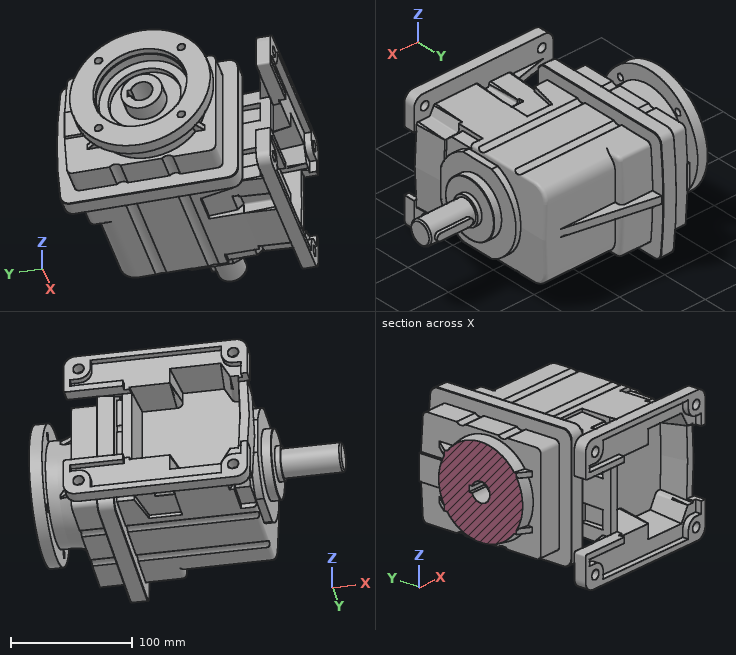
import cadquery as cq
import math


FLANGE_DIA = 120.0
FLANGE_THICK = 11.0
NECK_DIA = 90.0
NECK_END = 21.0
CONE_END_DIA = 94.0
BOLT_CIRCLE = 100.0
BOLT_DIA = 6.6

PILOT_DIA = 80.0
PILOT_DEPTH = 6.0
CAVITY_DIA = 78.0
CAVITY_DEPTH = 15.0
SEAL_BORE_DIA = 62.0
SEAL_BORE_DEPTH = 20.5
HUB_DIA = 35.0
HUB_FACE = 5.0
HUB_BORE_DIA = 19.0
HUB_BORE_DEPTH = 42.0
HUB_KEY_WIDTH = 6.0
HUB_KEY_TOP = 12.3

COVER_START = 34.7
COVER_TOP = 73.7
COVER_BOTTOM = -55.3
HALF_WIDTH = 50.0
COVER_CORNER = 5.0
COVER_CROWN = 2.6
PAD_THICK = 3.0
PAD_WIDTH = 25.4
PAD_TOP = 73.0
COVER_RIB_Z = 25.0
COVER_RIB_THICK = 5.0
COVER_RIB_START = 22.0
COVER_RIB_UPPER = 54.0
COVER_RIB_LOWER = -46.0

JOINT_START = 58.6
JOINT_END = 73.3
JOINT_TOP = 86.8
JOINT_BOTTOM = -68.2
JOINT_HALF_WIDTH = 62.0
JOINT_CORNER = 9.0
JOINT_CROWN = 3.8
JOINT_CHAMFER = 0.5

HOUSING_END = 186.5
REAR_CROWN = 2.0
HOUSING_BOTTOM = -56.2
SHOULDER_END = 108.0
SHOULDER_TOP = 73.6
SHOULDER_ROUND = 4.0
HOUSING_TOP = 65.9
HOUSING_CORNER = 16.0
HOUSING_END_ROUND = 3.0
GROOVE_WIDTH = 9.3
GROOVE_DEPTH = 2.0
GROOVE_Y = (30.5, -14.3)
UNDER_GROOVE_WIDTH = 6.2
UNDER_GROOVE_Z = 21.7
WEB_THICK = 8.0
WEB_END = 168.5
WEB_START_TOP = 84.5

RECESS_TOP = -26.5
RECESS_SLOPE_TOP = -51.0
LABEL_START_LOW = 87.7
LABEL_START_HIGH = 94.7
LABEL_END = 122.3
LABEL_UPPER_Z = 47.0
LABEL_LOWER_Z = 45.0
LABEL_NOTCH_START = 104.6
REAR_RECESS_START = 171.8
REAR_RECESS_Z = 45.5
WAIST_Z = 40.5

OUTPUT_Y = -11.3
PLATE_END = 191.6
PLATE_DIA = 95.4
PLATE_HALF_WIDTH = 44.3
OUTPUT_BOSS_DIA = 60.0
OUTPUT_BOSS_END = 200.0
OUTPUT_BOSS_CHAMFER = 0.5
SHOULDER_DIA = 30.0
SHAFT_SHOULDER_END = 204.5
SHAFT_DIA = 25.0
SHAFT_END = 255.0
SHAFT_CHAMFER = 1.5
KEY_START = 210.0
KEY_LENGTH = 40.0
KEY_WIDTH = 8.0
KEY_HEIGHT = 7.0
KEY_ABOVE_SHAFT = 3.0

FOOT_BOTTOM = -101.2
FOOT_THICK = 12.0
FOOT_TOP = FOOT_BOTTOM + FOOT_THICK
FOOT_START = 37.0
FOOT_END = PLATE_END
FOOT_HALF_WIDTH = 135.26 / 2
FOOT_CORNER = 10.0
FOOT_GAP_HALF = 33.5
GAP_CORNER = 2.0
FOOT_HOLE_DIA = 9.0
FOOT_HOLE_X = (49.7, 179.7)
FOOT_HOLE_Z = 55.0
FOOT_RECESS_DEPTH = 6.0
RIM_WIDTH = 5.4
HOLE_BOSS_RADIUS = 10.0
RAIL_END = 87.0
RAIL_WIDTH = 5.5
GUSSET_Z = 40.2
GUSSET_THICK = 7.2
GUSSET_START = 48.0
GUSSET_TOP = -79.8

LEG_FRONT = 86.0
LEG_STEP_FRONT = 106.5
LEG_STEP_REAR = 122.5
LEG_WIDE_END = 168.0
LEG_CHAMFER_END = 173.0
LEG_REAR = 187.0
LEG_RIDGE = LEG_REAR + REAR_CROWN
LEG_DRAFT = 3.3
LEG_ROUND = 2.0
POCKET_FLOOR = -64.0
POCKET_FRONT = 91.2
POCKET_STEP = 125.3
POCKET_WIDE_END = 168.0
POCKET_NARROW_START = 176.0
POCKET_REAR = 182.8
POCKET_CROWN = 1.2
POCKET_RIDGE = POCKET_REAR + POCKET_CROWN
POCKET_NARROW_Z = 35.5
POCKET_WIDE_Z = 49.5
POCKET_TAPER = 5.0
WALL_POCKET_Z = 23.0
WALL_POCKET_WIDTH = 18.0
WALL_POCKET_LOW = -80.0
WALL_POCKET_DEPTH = 5.0


def cylinder(start, end, diameter, y=0.0):
    """Cylinder along X at height y."""
    return cq.Workplane("YZ", origin=(start, y, 0)).circle(diameter / 2).extrude(end - start)


def block(x0, x1, y0, y1, z0, z1):
    """Axis-aligned block between opposite corners."""
    return cq.Workplane("XY").box(x1 - x0, y1 - y0, z1 - z0, centered=False).translate((x0, y0, z0))


def crowned_block(start, end, bottom, top, half_width, crown, corner):
    """Block along X with rounded edges and a top that bulges upward by the crown."""
    return (
        cq.Workplane("YZ", origin=(start, 0, 0))
        .moveTo(bottom, -half_width)
        .lineTo(top - crown, -half_width)
        .threePointArc((top, 0), (top - crown, half_width))
        .lineTo(bottom, half_width)
        .close()
        .extrude(end - start)
        .edges("|X")
        .fillet(corner)
    )


def ridged_outline(half, ridge_x):
    """XZ outline symmetric about z = 0, from its z > 0 half and the ridge point at its rear."""
    return half + [(ridge_x, 0)] + [(x, -z) for x, z in reversed(half)]


def off_center_box(x0, x1, y0, y1):
    """Selector for edges centred within the XY range but not on the mid plane z = 0."""
    left = cq.selectors.BoxSelector((x0, y0, -FOOT_HALF_WIDTH), (x1, y1, -1))
    right = cq.selectors.BoxSelector((x0, y0, 1), (x1, y1, FOOT_HALF_WIDTH))
    return left + right


def side_prism(points, z_center, thickness):
    """Prism of an XY outline, centred on z_center."""
    plane = cq.Workplane("XY", origin=(0, 0, z_center - thickness / 2))
    return plane.polyline(points).close().extrude(thickness)


def end_profile_prism(points, start, end):
    """Prism along X of a (y, z) outline."""
    return cq.Workplane("YZ", origin=(start, 0, 0)).polyline(points).close().extrude(end - start)


def both_sides(solid):
    """The solid together with its mirror image across the XY plane."""
    return solid.union(solid.mirror("XY"))


def motor_side():
    """Motor flange, neck, cone and their ribs."""
    body = cylinder(0, FLANGE_THICK, FLANGE_DIA).union(cylinder(FLANGE_THICK, NECK_END, NECK_DIA))
    cone = (
        cq.Workplane("YZ", origin=(NECK_END, 0, 0))
        .circle(NECK_DIA / 2)
        .workplane(offset=COVER_START - NECK_END)
        .circle(CONE_END_DIA / 2)
        .loft()
    )
    body = body.union(cone)
    pad = block(COVER_START - PAD_THICK, COVER_START, 0, PAD_TOP, -PAD_WIDTH / 2, PAD_WIDTH / 2)
    body = body.union(pad)
    rib_root = math.sqrt((NECK_DIA / 2) ** 2 - COVER_RIB_Z**2)
    for root_y, tip_y in ((rib_root, COVER_RIB_UPPER), (-rib_root, COVER_RIB_LOWER)):
        outline = [(COVER_RIB_START, root_y), (COVER_START, tip_y), (COVER_START, 0), (COVER_RIB_START, 0)]
        body = body.union(both_sides(side_prism(outline, COVER_RIB_Z, COVER_RIB_THICK)))
    return body


def cut_motor_cavity(body):
    """Stepped motor opening with the keyed input hub standing inside it."""
    body = body.cut(cylinder(0, PILOT_DEPTH, PILOT_DIA))
    body = body.cut(cylinder(0, CAVITY_DEPTH, CAVITY_DIA))
    body = body.cut(cylinder(0, SEAL_BORE_DEPTH, SEAL_BORE_DIA))
    body = body.union(cylinder(HUB_FACE, SEAL_BORE_DEPTH, HUB_DIA))
    body = body.cut(cylinder(0, HUB_BORE_DEPTH, HUB_BORE_DIA))
    keyway = block(0, HUB_BORE_DEPTH, 0, HUB_KEY_TOP, -HUB_KEY_WIDTH / 2, HUB_KEY_WIDTH / 2)
    body = body.cut(keyway)
    bolts = (
        cq.Workplane("YZ")
        .polarArray(BOLT_CIRCLE / 2, 45, 360, 4)
        .circle(BOLT_DIA / 2)
        .extrude(FLANGE_THICK)
    )
    return body.cut(bolts)


def cover_and_joint():
    """Input cover block and the joint flange behind it."""
    cover = crowned_block(
        COVER_START, JOINT_START, COVER_BOTTOM, COVER_TOP, HALF_WIDTH, COVER_CROWN, COVER_CORNER
    )
    joint = crowned_block(
        JOINT_START, JOINT_END, JOINT_BOTTOM, JOINT_TOP, JOINT_HALF_WIDTH, JOINT_CROWN, JOINT_CORNER
    )
    joint = joint.faces("<X or >X").edges().chamfer(JOINT_CHAMFER)
    return cover.union(joint)


def housing():
    """Gear housing: a low rear body, a taller front shoulder and a sloping top web."""
    side_end = HOUSING_END - REAR_CROWN
    outline = ridged_outline([(JOINT_END, HALF_WIDTH), (side_end, HALF_WIDTH)], HOUSING_END)
    rear = (
        cq.Workplane("XZ", origin=(0, HOUSING_TOP, 0))
        .polyline(outline)
        .close()
        .extrude(HOUSING_TOP - HOUSING_BOTTOM)
        .edges("|X and >Y")
        .fillet(HOUSING_CORNER)
    )
    rear = rear.edges(
        off_center_box(side_end - 1, HOUSING_END, HOUSING_BOTTOM + 1, HOUSING_TOP + 1)
    ).fillet(HOUSING_END_ROUND)
    shoulder = crowned_block(
        JOINT_END, SHOULDER_END, 0, SHOULDER_TOP, HALF_WIDTH, COVER_CROWN, COVER_CORNER
    )
    shoulder = shoulder.faces(">X").edges(">Y").fillet(SHOULDER_ROUND)
    web_outline = [
        (JOINT_END, WEB_START_TOP),
        (WEB_END, HOUSING_TOP),
        (WEB_END, 0),
        (JOINT_END, 0),
    ]
    return rear.union(shoulder).union(side_prism(web_outline, 0, WEB_THICK))


def groove(width, depth, start, end):
    """Shallow round channel along X whose chord lies on the plane y = 0, sinking to -Y."""
    radius = (width**2 / 4 + depth**2) / (2 * depth)
    return cylinder(start, end, 2 * radius, radius - depth)


def cut_grooves(body):
    """Channels along both sides and along the underside, broken by the joint flange."""
    for start, end in ((COVER_START, JOINT_START), (JOINT_END, HOUSING_END)):
        side = groove(GROOVE_WIDTH, GROOVE_DEPTH, start, end).rotate((0, 0, 0), (1, 0, 0), 90)
        for y in GROOVE_Y:
            body = body.cut(both_sides(side.translate((0, y, HALF_WIDTH))))
    under = groove(UNDER_GROOVE_WIDTH, GROOVE_DEPTH, JOINT_END, LEG_FRONT)
    under = under.rotate((0, 0, 0), (1, 0, 0), 180)
    return body.cut(both_sides(under.translate((0, HOUSING_BOTTOM, UNDER_GROOVE_Z))))


def cut_side_recesses(body):
    """Label recess and rear recess on both sides, each falling off to the leg below."""
    outside = HALF_WIDTH + 1
    label = end_profile_prism(
        [
            (RECESS_TOP, outside),
            (RECESS_TOP, LABEL_UPPER_Z),
            (HOUSING_BOTTOM, LABEL_LOWER_Z),
            (HOUSING_BOTTOM, outside),
        ],
        LABEL_START_LOW,
        LABEL_END,
    )
    label_outline = [
        (LABEL_START_LOW, HOUSING_BOTTOM),
        (LABEL_START_HIGH, RECESS_TOP),
        (LABEL_END, RECESS_TOP),
        (LABEL_END, HOUSING_BOTTOM),
    ]
    label = label.intersect(side_prism(label_outline, HALF_WIDTH, HALF_WIDTH))
    notch = end_profile_prism(
        [
            (RECESS_SLOPE_TOP, outside),
            (RECESS_SLOPE_TOP, LABEL_LOWER_Z),
            (HOUSING_BOTTOM, WAIST_Z),
            (HOUSING_BOTTOM, outside),
        ],
        LABEL_NOTCH_START,
        LABEL_END,
    )
    rear = end_profile_prism(
        [
            (RECESS_TOP, outside),
            (RECESS_TOP, REAR_RECESS_Z),
            (RECESS_SLOPE_TOP, REAR_RECESS_Z),
            (HOUSING_BOTTOM, WAIST_Z),
            (HOUSING_BOTTOM, outside),
        ],
        REAR_RECESS_START,
        PLATE_END,
    )
    for recess in (label, notch, rear):
        body = body.cut(both_sides(recess))
    return body


def output_side():
    """Rear plate, bearing boss, output shaft and key."""
    plate = cylinder(JOINT_END, PLATE_END, PLATE_DIA, OUTPUT_Y)
    plate = plate.intersect(
        block(JOINT_END, PLATE_END, HOUSING_BOTTOM, PLATE_DIA, -PLATE_HALF_WIDTH, PLATE_HALF_WIDTH)
    )
    boss = cylinder(HOUSING_END, OUTPUT_BOSS_END, OUTPUT_BOSS_DIA, OUTPUT_Y)
    boss = boss.faces(">X").chamfer(OUTPUT_BOSS_CHAMFER)
    shoulder = cylinder(OUTPUT_BOSS_END, SHAFT_SHOULDER_END, SHOULDER_DIA, OUTPUT_Y)
    shaft = cylinder(SHAFT_SHOULDER_END, SHAFT_END, SHAFT_DIA, OUTPUT_Y).faces(">X").chamfer(SHAFT_CHAMFER)
    key_top = OUTPUT_Y + SHAFT_DIA / 2 + KEY_ABOVE_SHAFT
    key = (
        cq.Workplane("XZ", origin=(KEY_START + KEY_LENGTH / 2, key_top, 0))
        .slot2D(KEY_LENGTH, KEY_WIDTH)
        .extrude(KEY_HEIGHT)
    )
    return plate.union(boss).union(shoulder).union(shaft).union(key)


def leg():
    """Drafted leg; its outline is narrow in front, waisted, wide, then narrow again."""
    outline = ridged_outline(
        [
            (LEG_FRONT, LABEL_LOWER_Z),
            (LEG_STEP_FRONT, LABEL_LOWER_Z),
            (LEG_STEP_FRONT, WAIST_Z),
            (LEG_STEP_REAR, WAIST_Z),
            (LEG_STEP_REAR, HALF_WIDTH),
            (LEG_WIDE_END, HALF_WIDTH),
            (LEG_CHAMFER_END, WAIST_Z),
            (LEG_REAR, WAIST_Z),
        ],
        LEG_RIDGE,
    )
    plane = cq.Workplane("XZ", origin=(0, HOUSING_BOTTOM, 0))
    body = plane.polyline(outline).close().extrude(HOUSING_BOTTOM - FOOT_TOP, taper=-LEG_DRAFT)
    upright_edges = off_center_box(FOOT_START, FOOT_END, FOOT_TOP + 1, HOUSING_BOTTOM - 1)
    return body.edges(upright_edges).fillet(LEG_ROUND)


def leg_pocket():
    """Tapered hollow of the leg, widest at the foot."""
    outline = ridged_outline(
        [
            (POCKET_FRONT, POCKET_NARROW_Z),
            (POCKET_STEP, POCKET_NARROW_Z),
            (POCKET_STEP, POCKET_WIDE_Z),
            (POCKET_WIDE_END, POCKET_WIDE_Z),
            (POCKET_NARROW_START, POCKET_NARROW_Z),
            (POCKET_REAR, POCKET_NARROW_Z),
        ],
        POCKET_RIDGE,
    )
    rim = FOOT_BOTTOM + FOOT_RECESS_DEPTH
    depth = POCKET_FLOOR - rim
    taper = math.degrees(math.atan(POCKET_TAPER / depth))
    return cq.Workplane("XZ", origin=(0, rim, 0)).polyline(outline).close().extrude(-depth, taper=taper)


def foot_plate():
    """Mounting plate; the lengthwise gap splits it into two rails."""
    plate = block(
        FOOT_START, FOOT_END, FOOT_BOTTOM, FOOT_TOP, -FOOT_HALF_WIDTH, FOOT_HALF_WIDTH
    )
    plate = plate.edges("|Y").fillet(FOOT_CORNER)
    gap = block(FOOT_START, FOOT_END, FOOT_BOTTOM, FOOT_TOP, -FOOT_GAP_HALF, FOOT_GAP_HALF)
    return plate.cut(gap).edges("|Y and (<X or >X)").edges("<X").fillet(GAP_CORNER)


def foot_recess():
    """Shallow recess under each foot rail, leaving a rim, a guide rail and four hole bosses."""
    inner_z = FOOT_GAP_HALF + RAIL_WIDTH
    outer_z = FOOT_HALF_WIDTH - RIM_WIDTH
    recess_floor = FOOT_BOTTOM + FOOT_RECESS_DEPTH
    area = block(
        FOOT_START + RIM_WIDTH, FOOT_END - RIM_WIDTH, FOOT_BOTTOM, recess_floor, inner_z, outer_z
    )
    rest = block(RAIL_END, FOOT_END - RIM_WIDTH, FOOT_BOTTOM, recess_floor, 0, inner_z)
    area = area.union(rest)
    for x in FOOT_HOLE_X:
        outward = -1 if x == FOOT_HOLE_X[0] else 1
        boss = cq.Workplane("XZ", origin=(x, recess_floor, FOOT_HOLE_Z)).circle(HOLE_BOSS_RADIUS)
        area = area.cut(boss.extrude(FOOT_RECESS_DEPTH))
        reach = x + outward * 2 * HOLE_BOSS_RADIUS
        x_low, x_high = sorted((x, reach))
        area = area.cut(
            block(x_low, x_high, FOOT_BOTTOM, recess_floor, FOOT_HOLE_Z - HOLE_BOSS_RADIUS, outer_z)
        )
        x_low, x_high = sorted((x - outward * HOLE_BOSS_RADIUS, reach))
        area = area.cut(block(x_low, x_high, FOOT_BOTTOM, recess_floor, FOOT_HOLE_Z, outer_z))
    return both_sides(area)


def foot():
    """Foot plate, leg, gussets and everything cut into them."""
    body = foot_plate().union(leg())
    gusset = side_prism(
        [(GUSSET_START, FOOT_TOP), (LEG_FRONT, GUSSET_TOP), (LEG_FRONT, FOOT_TOP)], GUSSET_Z, GUSSET_THICK
    )
    body = body.union(both_sides(gusset))
    wall_pocket = block(
        0,
        LEG_FRONT + WALL_POCKET_DEPTH,
        WALL_POCKET_LOW,
        HOUSING_BOTTOM,
        WALL_POCKET_Z - WALL_POCKET_WIDTH / 2,
        WALL_POCKET_Z + WALL_POCKET_WIDTH / 2,
    )
    body = body.cut(both_sides(wall_pocket)).cut(foot_recess())
    holes = (
        cq.Workplane("XZ", origin=(sum(FOOT_HOLE_X) / 2, FOOT_TOP, 0))
        .rarray(FOOT_HOLE_X[1] - FOOT_HOLE_X[0], 2 * FOOT_HOLE_Z, 2, 2)
        .circle(FOOT_HOLE_DIA / 2)
        .extrude(FOOT_THICK)
    )
    return body.cut(holes)


upper = motor_side().union(cover_and_joint()).union(housing())
upper = upper.union(output_side())
upper = cut_side_recesses(cut_grooves(cut_motor_cavity(upper)))
result = upper.union(foot()).cut(leg_pocket())